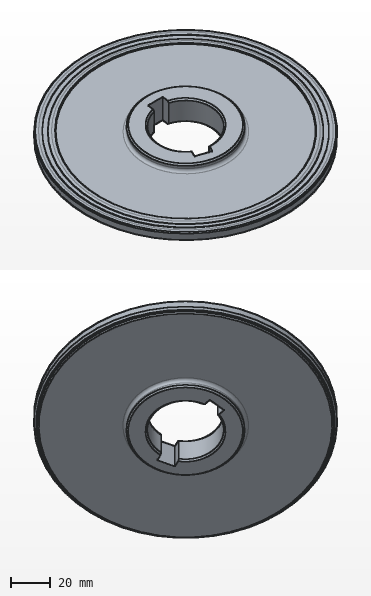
import cadquery as cq

hub_diameter = 59.5
hub_height = 15.9
hub_chamfer = 0.9
bore_diameter = 38.5
bore_chamfer = 0.9
web_fillet = 1.8

keyway_width = 9.8
keyway_reach = 23.3
keyway_angles = (0, 198)

flange_diameter = 149.1
disc_thickness = 7.0
flange_chamfer = 0.8

lip_top = 4.0
lip_inner_radius = 65.3
lip_inner_chamfer = 0.5
lip_crest_radius = 67.6
lip_slope_drop = 0.5
lip_outer_radius = 69.3
lip_step_width = 0.2
groove_floor = 3.4

ring_diameter = 152.6
ring_inner_radius = 72.2
ring_bottom = -2.1
ring_edge_height = 3.8
ring_crown_radius = 74.2
ring_crown_height = 4.0
ring_top_chamfer = 0.6
ring_bottom_chamfer = 1.0

hub_radius = hub_diameter / 2
hub_top = hub_height / 2
bore_radius = bore_diameter / 2
flange_radius = flange_diameter / 2
web_top = disc_thickness / 2
ring_radius = ring_diameter / 2


def revolve_about_z(profile):
    """Turn a closed radius-height profile around the Z axis."""
    return profile.close().revolve(360, (0, 0, 0), (0, 1, 0))


def make_keyway(angle):
    """Cutter for one square keyway running the full hub height."""
    cutter = cq.Workplane("XY").box(keyway_reach, keyway_width, hub_height, centered=(False, True, True))
    return cutter.rotate((0, 0, 0), (0, 0, 1), angle)


def make_disc():
    """Hub, web, flange and raised lip in one turned piece, with bore and keyways."""
    bore_mouth = bore_radius + bore_chamfer
    bore_edge = hub_top - bore_chamfer
    hub_shoulder = hub_radius - hub_chamfer
    hub_edge = hub_top - hub_chamfer
    fillet_edge = web_top + web_fillet
    fillet_foot = hub_radius + web_fillet
    fillet_sag = web_fillet * 0.5 ** 0.5
    fillet_mid_radius = fillet_foot - fillet_sag
    fillet_mid_height = fillet_edge - fillet_sag
    profile = (
        cq.Workplane("XZ")
        .moveTo(bore_radius, -bore_edge)
        .lineTo(bore_radius, bore_edge)
        .lineTo(bore_mouth, hub_top)
        .lineTo(hub_shoulder, hub_top)
        .lineTo(hub_radius, hub_edge)
        .lineTo(hub_radius, fillet_edge)
        .threePointArc((fillet_mid_radius, fillet_mid_height), (fillet_foot, web_top))
        .lineTo(lip_inner_radius, web_top)
        .lineTo(lip_inner_radius + lip_inner_chamfer, lip_top)
        .lineTo(lip_crest_radius, lip_top)
        .lineTo(lip_outer_radius, lip_top - lip_slope_drop)
        .lineTo(lip_outer_radius + lip_step_width, groove_floor)
        .lineTo(ring_inner_radius, groove_floor)
        .lineTo(ring_inner_radius, ring_bottom)
        .lineTo(flange_radius, ring_bottom)
        .lineTo(flange_radius, -web_top + flange_chamfer)
        .lineTo(flange_radius - flange_chamfer, -web_top)
        .lineTo(fillet_foot, -web_top)
        .threePointArc((fillet_mid_radius, -fillet_mid_height), (hub_radius, -fillet_edge))
        .lineTo(hub_radius, -hub_edge)
        .lineTo(hub_shoulder, -hub_top)
        .lineTo(bore_mouth, -hub_top)
    )
    disc = revolve_about_z(profile)
    for angle in keyway_angles:
        disc = disc.cut(make_keyway(angle))
    return disc


def make_ring():
    """Rim ring with a slightly crowned top and chamfered outer edges."""
    profile = (
        cq.Workplane("XZ")
        .moveTo(ring_inner_radius, ring_bottom)
        .lineTo(ring_radius - ring_bottom_chamfer, ring_bottom)
        .lineTo(ring_radius, ring_bottom + ring_bottom_chamfer)
        .lineTo(ring_radius, ring_edge_height - ring_top_chamfer)
        .lineTo(ring_radius - ring_top_chamfer, ring_edge_height)
        .lineTo(ring_crown_radius, ring_crown_height)
        .lineTo(ring_inner_radius, ring_edge_height)
    )
    return revolve_about_z(profile)


disc = make_disc()
ring = make_ring()
result = cq.Compound.makeCompound([disc.val(), ring.val()])